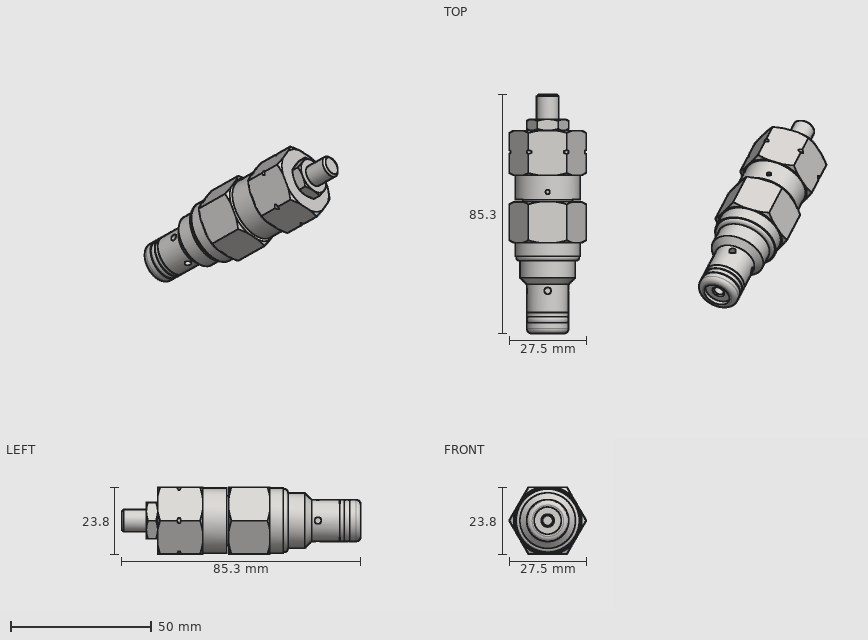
import cadquery as cq
import math

CORNERS = 6
PORTS = 4

overall_length = 85.27

nose_radius = 7.5
nose_rounding = 1.9
seat_length = 7.5
seal_start = 3.95
seal_end = 6.0
seal_edge_radius = 7.2
spigot_radius = 6.0
seat_gap = 0.1
recess_radius = 4.85
recess_depth = 1.5
orifice_radius = 1.8
orifice_mouth_radius = 2.3
orifice_depth = 5.0

port_position = 15.3
port_radius = 1.2
port_depth = 2.5
cone_start = 17.55
stem_radius = 9.9
stem_end = 25.95
collar_start = 27.6
collar_radius = 11.65
shoulder_seal_centre_radius = 10.0
shoulder_seal_section_radius = 1.3

hex_across_flats = 23.825
hex_chamfer_angle = 30
hex_chamfer_radius = 12.2
lower_hex_start = 32.4
lower_hex_end = 47.0
neck_radius = 8.9
cap_skirt_start = 47.75
upper_hex_start = 56.4
upper_hex_end = 72.4

skirt_hole_position = 50.5
skirt_hole_angle = 90
skirt_hole_radius = 0.8
skirt_hole_depth = 1.0
wire_groove_position = 64.75
wire_groove_radius = 0.65
wire_groove_bottom_radius = 13.2

nut_across_flats = 13.0
nut_thickness = 4.0
nut_chamfer_start_radius = 6.5
screw_radius = 4.0
screw_chamfer = 0.75

cone_end = cone_start + stem_radius - nose_radius
seal_middle = (seal_start + seal_end) / 2
sleeve_start = seat_length + seat_gap
shoulder_seal_middle = stem_end + shoulder_seal_section_radius
shoulder_seal_top_radius = shoulder_seal_centre_radius + math.sqrt(
    shoulder_seal_section_radius**2 - (collar_start - shoulder_seal_middle) ** 2
)
hex_corner_radius = hex_across_flats / math.sqrt(3)
nut_end = upper_hex_end + nut_thickness


def revolve_about_y(outline):
    return outline.close().revolve(360, (0, 0, 0), (0, 1, 0))


def chamfered_hex(across_flats, start, end, chamfer_start_radius):
    """Hexagonal bar with two corners on the X axis and turned chamfers at both ends."""
    corner_radius = across_flats / math.sqrt(3)
    drop = (corner_radius - chamfer_start_radius) * math.tan(math.radians(hex_chamfer_angle))
    bar = cq.Workplane("XZ", origin=(0, start, 0)).polygon(CORNERS, 2 * corner_radius).extrude(start - end)
    turned = revolve_about_y(
        cq.Workplane("XY")
        .moveTo(0, start)
        .lineTo(chamfer_start_radius, start)
        .lineTo(corner_radius, start + drop)
        .lineTo(corner_radius, end - drop)
        .lineTo(chamfer_start_radius, end)
        .lineTo(0, end)
    )
    return bar.intersect(turned)


def radial_drill(position, angle, drill_radius, floor_radius):
    """Drill square to the axis, from outside down to floor_radius; angle is measured from +X towards +Z."""
    direction = cq.Vector(math.cos(math.radians(angle)), 0, math.sin(math.radians(angle)))
    start = direction * floor_radius + cq.Vector(0, position, 0)
    return cq.Workplane(cq.Solid.makeCylinder(drill_radius, hex_corner_radius, start, direction))


def wire_groove():
    """Round-bottomed ring groove, shallow enough to notch only the corners of the upper hexagon."""
    centre_radius = wire_groove_bottom_radius + wire_groove_radius
    return cq.Workplane(
        cq.Solid.makeTorus(
            centre_radius, wire_groove_radius, cq.Vector(0, wire_groove_position, 0), cq.Vector(0, 1, 0)
        )
    )


def make_nose_seat():
    """Turned seat with a rounded nose, a seal ring, a recess and a blind orifice."""
    arc_middle = nose_rounding * (1 - math.sqrt(0.5))
    return revolve_about_y(
        cq.Workplane("XY")
        .moveTo(0, orifice_depth)
        .lineTo(orifice_radius, orifice_depth)
        .lineTo(orifice_radius, recess_depth + orifice_mouth_radius - orifice_radius)
        .lineTo(orifice_mouth_radius, recess_depth)
        .lineTo(recess_radius, recess_depth)
        .lineTo(recess_radius, 0)
        .lineTo(nose_radius - nose_rounding, 0)
        .threePointArc((nose_radius - arc_middle, arc_middle), (nose_radius, nose_rounding))
        .lineTo(nose_radius, seal_start)
        .lineTo(seal_edge_radius, seal_start)
        .threePointArc((nose_radius, seal_middle), (seal_edge_radius, seal_end))
        .lineTo(nose_radius, seal_end)
        .lineTo(nose_radius, seat_length)
        .lineTo(spigot_radius, seat_length)
        .lineTo(spigot_radius, sleeve_start)
        .lineTo(0, sleeve_start)
    )


def make_valve_body():
    """Turned body with two hexagons, a lock nut and an adjusting screw, drilled with radial holes."""
    turned = revolve_about_y(
        cq.Workplane("XY")
        .moveTo(0, sleeve_start)
        .lineTo(nose_radius, sleeve_start)
        .lineTo(nose_radius, cone_start)
        .lineTo(stem_radius, cone_end)
        .lineTo(stem_radius, stem_end)
        .lineTo(shoulder_seal_centre_radius, stem_end)
        .threePointArc(
            (shoulder_seal_centre_radius + shoulder_seal_section_radius, shoulder_seal_middle),
            (shoulder_seal_top_radius, collar_start),
        )
        .lineTo(collar_radius, collar_start)
        .lineTo(collar_radius, lower_hex_start)
        .lineTo(neck_radius, lower_hex_start)
        .lineTo(neck_radius, cap_skirt_start)
        .lineTo(collar_radius, cap_skirt_start)
        .lineTo(collar_radius, upper_hex_start)
        .lineTo(screw_radius, upper_hex_start)
        .lineTo(screw_radius, overall_length - screw_chamfer)
        .lineTo(screw_radius - screw_chamfer, overall_length)
        .lineTo(0, overall_length)
    )
    body = turned.union(chamfered_hex(hex_across_flats, lower_hex_start, lower_hex_end, hex_chamfer_radius))
    body = body.union(chamfered_hex(hex_across_flats, upper_hex_start, upper_hex_end, hex_chamfer_radius))
    body = body.union(chamfered_hex(nut_across_flats, upper_hex_end, nut_end, nut_chamfer_start_radius))
    for port in range(PORTS):
        angle = port * 360 / PORTS
        body = body.cut(radial_drill(port_position, angle, port_radius, nose_radius - port_depth))
    body = body.cut(wire_groove())
    skirt_hole_floor = collar_radius - skirt_hole_depth
    return body.cut(radial_drill(skirt_hole_position, skirt_hole_angle, skirt_hole_radius, skirt_hole_floor))


nose_seat = make_nose_seat()
valve_body = make_valve_body()

result = cq.Compound.makeCompound([nose_seat.val(), valve_body.val()])